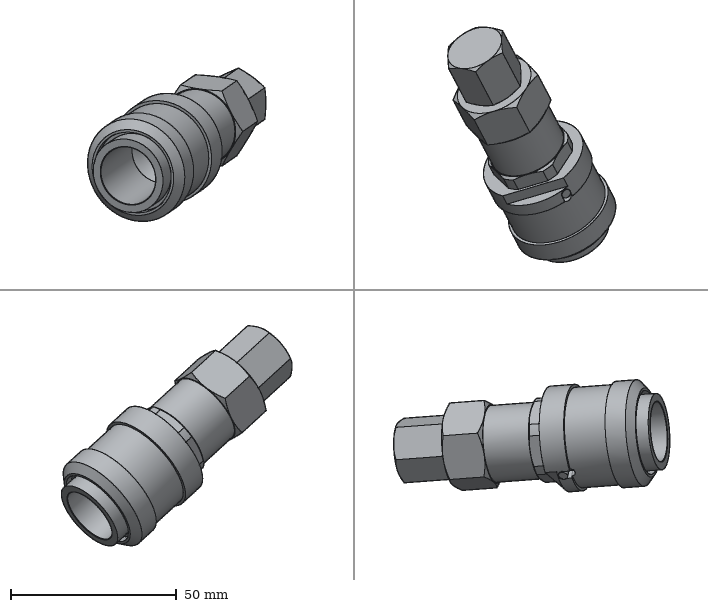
import math

import cadquery as cq


sleeve_front = 3.5
flange_chamfer_end = 5.8
flange_rear = 12.2
collar_front = 25.25
notch_front = 29.4
collar_rear = 32.9
body_hex_rear = 37.5
nut_front = 51.9
nut_rear = 64.9
total_length = 80.9

nose_radius = 11.6
body_radius = 11.65
sleeve_radius = 15.2
flange_diameter = 32.3
flange_radius = flange_diameter / 2
sleeve_face_radius = 13.5
notch_floor = 12.8

pin_radius = 1.45
pin_center = 27.7
pin_tip = 16.4
pin_angle = 32
slot_front_center = 25.5

gap_radius = 12.7
gap_depth = 2.4

bore_radius = 9.1
bore_lip = 0.2
bore_depth = 22.65
seat_radius = 5.0
seat_depth = 4.05

nut_flats = 23.9
body_hex_round = 12.9
end_hex_flats = 17.5
hex_chamfer_angle = 30
half_corner_angle = 30
corner_overrun = 0.8


def revolve_profile(points):
    """Turn a closed (radius, Y) outline about the Y axis."""
    return cq.Workplane("XY").polyline(points).close().revolve(360, (0, 0, 0), (0, 1, 0))


def cylinder(radius, start, end):
    return revolve_profile([(0, start), (radius, start), (radius, end), (0, end)])


def hexagon(flats, start, end, turn=0, chamfer_front=True):
    """Hexagonal bar whose corners are turned down to the inscribed circle at its ends."""
    corner_radius = flats / 2 / math.cos(math.radians(half_corner_angle))
    prism = (
        cq.Workplane("XZ", origin=(0, start, 0))
        .polygon(6, 2 * corner_radius)
        .extrude(start - end)
        .rotate((0, 0, 0), (0, 1, 0), turn)
    )
    rim = flats / 2
    outer = corner_radius + corner_overrun
    drop = (outer - rim) * math.tan(math.radians(hex_chamfer_angle))
    front = [(rim, start), (outer, start + drop)] if chamfer_front else [(outer, start)]
    envelope = [(0, start)] + front + [(outer, end - drop), (rim, end), (0, end)]
    return prism.intersect(revolve_profile(envelope))


def sliding_sleeve():
    sleeve = revolve_profile([
        (0, sleeve_front),
        (sleeve_face_radius, sleeve_front),
        (flange_radius, flange_chamfer_end),
        (flange_radius, flange_rear),
        (sleeve_radius, flange_rear),
        (sleeve_radius, collar_front),
        (flange_radius, collar_front),
        (flange_radius, collar_rear),
        (0, collar_rear),
    ])
    gap = cylinder(gap_radius, sleeve_front, sleeve_front + gap_depth)
    notch_length = collar_rear - notch_front
    notch_height = flange_radius - notch_floor
    notch = (
        cq.Workplane("XY", origin=(0, notch_front, -flange_radius))
        .box(2 * flange_radius, notch_length, notch_height, centered=(True, False, False))
    )
    return sleeve.cut(gap).cut(notch)


def radial_column(center):
    """Column of the pin's diameter, pointing down and toward -X, from the gap radius to the pin tip."""
    column = cq.Workplane("XY", origin=(0, center, -pin_tip)).circle(pin_radius).extrude(pin_tip - gap_radius)
    return column.rotate((0, 0, 0), (0, 1, 0), pin_angle)


def stop_pin():
    return radial_column(pin_center)


def pin_slot():
    """Slot of the pin's width with a round front end, running back to the pin's axis."""
    straight = (
        cq.Workplane("XY", origin=(0, slot_front_center, -pin_tip))
        .box(
            2 * pin_radius,
            pin_center - slot_front_center,
            pin_tip - gap_radius,
            centered=(True, False, False),
        )
        .rotate((0, 0, 0), (0, 1, 0), pin_angle)
    )
    return straight.union(radial_column(slot_front_center))


def socket_bore():
    return revolve_profile([
        (0, 0),
        (bore_radius + bore_lip, 0),
        (bore_radius, bore_lip),
        (bore_radius, bore_depth),
        (seat_radius, bore_depth + seat_depth),
        (0, bore_depth + seat_depth),
    ])


nose = cylinder(nose_radius, 0, collar_front)
body = cylinder(body_radius, collar_front, nut_front)
body_hex = hexagon(nut_flats, collar_front, body_hex_rear, chamfer_front=False).intersect(
    cylinder(body_hex_round, collar_front, body_hex_rear)
)
nut = hexagon(nut_flats, nut_front, nut_rear)
end_hex = hexagon(end_hex_flats, nut_rear, total_length, turn=half_corner_angle)

result = sliding_sleeve().cut(pin_slot())
for section in (stop_pin(), nose, body, body_hex, nut, end_hex):
    result = result.union(section)
result = result.cut(socket_bore())